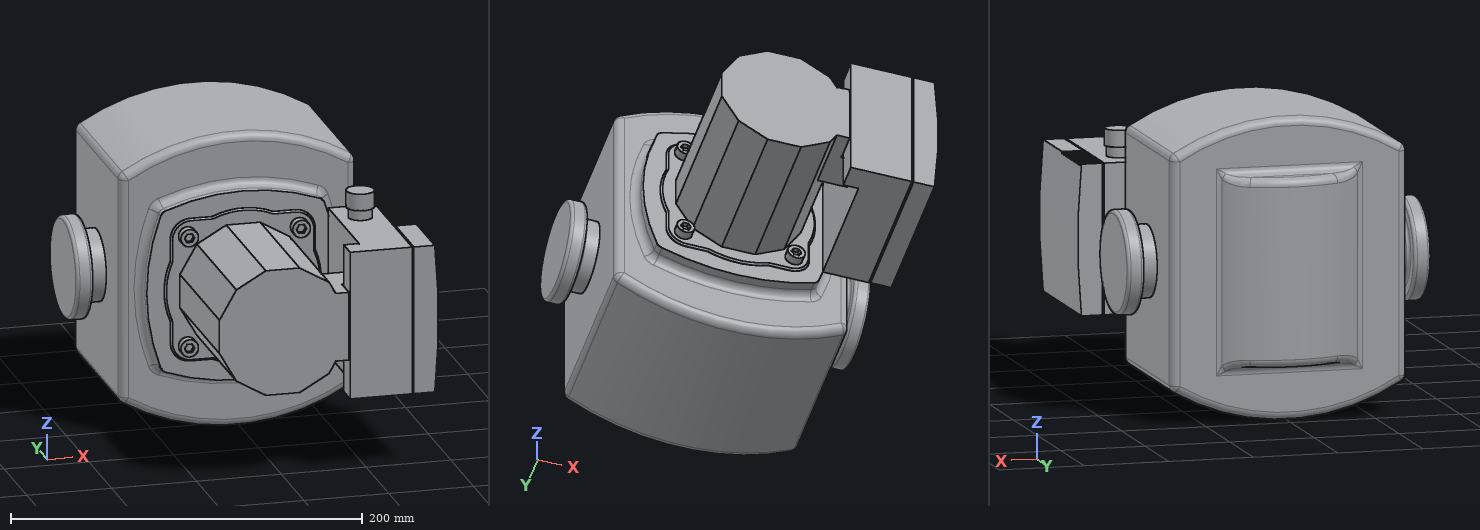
import cadquery as cq
import math


housing_half_width = 69.6
housing_half_height = 88.0
housing_half_depth = 51.0
bow_radius = 130.0
edge_round = 5.0
pad_half_size = 56.5
pad_front = -61.2
dome_rise = 14.9
dome_half_width = 41.4
dome_half_height = 55.0

pick_margin = 0.2
foot_margin = 2.2

pipe_z = -1.0
pipe_radius = 21.1
flange_radius = 30.2
flange_end = 89.7
flange_thickness = 10.1
flange_round = 2.0

plate_thickness = 1.3
plate_half_size = 42.7
plate_corner_radius = 11.9
plate_disc_radius = 46.3
plate_chamfer = 1.0
motor_sides = 12
motor_apothem = 37.3
length_overall = 215.5
motor_front = housing_half_depth + dome_rise - length_overall
plate_front = pad_front - plate_thickness

screw_offset = 33.0
screw_head_radius = 5.2
screw_head_height = 5.4
socket_sides = 6
socket_size = 5.8
socket_depth = 2.5

box_half_height = 44.0
box_left = 49.0
box_back = -67.0
box_front = -149.0
box_edge_right = 89.9
box_crown_right = 92.0
lip_left = 39.9
lip_back = -134.7
seam_left = 76.5
seam_width = 0.9
seam_depth = 1.0
slot_count = 15
slot_row_length = 38.0
slot_pitch = slot_row_length / (slot_count - 1)
slot_width = 1.3
first_slot = -70.0
slot_depth = 1.0
gland_x = 62.3
gland_y = -87.5
gland_neck_radius = 7.0
gland_neck_height = 6.3
gland_head_radius = 8.2
gland_top = 60.1

clearance = 0.9
block_half_height = 20.3
block_back = -113.0


def chord_drop(radius, half_chord):
    """Distance from the crown of an arc to its chord."""
    return radius - math.sqrt(radius**2 - half_chord**2)


def cylinder_along_x(radius, start, end):
    return cq.Workplane("YZ", origin=(start, 0, pipe_z)).circle(radius).extrude(end - start)


def housing_shell():
    """Flat-sided block with a bowed top and bottom, rounded on every edge."""
    corner = housing_half_height - chord_drop(bow_radius, housing_half_width)
    return (
        cq.Workplane("XZ", origin=(0, housing_half_depth, 0))
        .moveTo(-housing_half_width, -corner)
        .lineTo(-housing_half_width, corner)
        .threePointArc((0, housing_half_height), (housing_half_width, corner))
        .lineTo(housing_half_width, -corner)
        .threePointArc((0, -housing_half_height), (-housing_half_width, -corner))
        .close()
        .extrude(2 * housing_half_depth)
        .edges()
        .fillet(edge_round)
    )


def motor_pad():
    """Square pad with four bowed sides, reaching back into the housing."""
    shift = bow_radius - pad_half_size
    corner = (math.sqrt(2 * bow_radius**2 - shift**2) - shift) / 2
    return (
        cq.Workplane("XZ")
        .moveTo(-corner, -corner)
        .threePointArc((-pad_half_size, 0), (-corner, corner))
        .threePointArc((0, pad_half_size), (corner, corner))
        .threePointArc((pad_half_size, 0), (corner, -corner))
        .threePointArc((0, -pad_half_size), (-corner, -corner))
        .close()
        .extrude(-pad_front)
        .edges("|Y")
        .fillet(edge_round)
    )


def back_dome():
    """Segment of a cylinder along Z, standing on the back of the housing."""
    crown = housing_half_depth + dome_rise
    return (
        cq.Workplane("XY", origin=(0, 0, -dome_half_height))
        .moveTo(-dome_half_width, 0)
        .lineTo(-dome_half_width, housing_half_depth)
        .threePointArc((0, crown), (dome_half_width, housing_half_depth))
        .lineTo(dome_half_width, 0)
        .close()
        .extrude(2 * dome_half_height)
    )


def pipe_stub():
    """Pipe neck and rounded end flange on the +X side, starting inside the housing."""
    neck = cylinder_along_x(pipe_radius, housing_half_width / 2, flange_end)
    flange = cylinder_along_x(flange_radius, flange_end - flange_thickness, flange_end)
    return neck.union(flange).edges("%CIRCLE and (not <X)").fillet(flange_round)


def blend_foot(body, face_y, reach):
    """Fillet the edges where a raised shape stands on the housing face at face_y."""
    near = (-reach, face_y - pick_margin, -reach)
    far = (reach, face_y + pick_margin, reach)
    return body.edges(cq.selectors.BoxSelector(near, far)).fillet(edge_round)


def round_dome_ends(body):
    """Fillet the curved edges between the dome and its two flat ends."""
    near = (-dome_half_width, housing_half_depth + edge_round, -dome_half_height - pick_margin)
    far = (dome_half_width, housing_half_depth + dome_rise, dome_half_height + pick_margin)
    return body.edges(cq.selectors.BoxSelector(near, far)).edges("%CIRCLE").fillet(edge_round)


def make_housing():
    body = housing_shell().union(motor_pad())
    body = blend_foot(body, -housing_half_depth, pad_half_size + foot_margin)
    body = body.union(back_dome())
    body = blend_foot(body, housing_half_depth, dome_half_height + foot_margin)
    body = round_dome_ends(body)
    stub = pipe_stub()
    return body.union(stub).union(stub.mirror("YZ"))


def motor_plate():
    """Thin flange: rounded square crossed with a slightly larger disc."""
    base = cq.Workplane("XZ", origin=(0, pad_front, 0))
    size = 2 * plate_half_size
    square = base.rect(size, size).extrude(plate_thickness).edges("|Y").fillet(plate_corner_radius)
    disc = base.circle(plate_disc_radius).extrude(plate_thickness)
    return square.union(disc).faces("<Y").edges().chamfer(plate_chamfer)


def terminal_block():
    """Block from the motor to the control box, cut back where the box lip sits."""
    block_end = lip_left - clearance
    step = lip_back + clearance
    return (
        cq.Workplane("XY", origin=(0, 0, -block_half_height))
        .moveTo(0, block_back)
        .lineTo(box_left, block_back)
        .lineTo(box_left, step)
        .lineTo(block_end, step)
        .lineTo(block_end, motor_front)
        .lineTo(0, motor_front)
        .close()
        .extrude(2 * block_half_height)
    )


def make_motor():
    half_side_angle = math.pi / motor_sides
    across_corners = 2 * motor_apothem / math.cos(half_side_angle)
    barrel = (
        cq.Workplane("XZ", origin=(0, plate_front, 0))
        .transformed(rotate=(0, 0, math.degrees(half_side_angle)))
        .polygon(motor_sides, across_corners)
        .extrude(plate_front - motor_front)
    )
    return motor_plate().union(barrel).union(terminal_block())


def make_screw(x, z):
    """Screw head with a six-sided socket."""
    top = plate_front - screw_head_height
    head = cq.Workplane("XZ", origin=(x, plate_front, z)).circle(screw_head_radius).extrude(screw_head_height)
    socket = cq.Workplane("XZ", origin=(x, top, z)).polygon(socket_sides, socket_size).extrude(-socket_depth)
    return head.cut(socket)


def box_body():
    """Box with a lip over the terminal block and a slightly crowned outer side."""
    depth = box_back - box_front
    body = (
        cq.Workplane("XZ", origin=(0, box_back, 0))
        .moveTo(lip_left, -box_half_height)
        .lineTo(lip_left, box_half_height)
        .lineTo(box_edge_right, box_half_height)
        .threePointArc((box_crown_right, 0), (box_edge_right, -box_half_height))
        .close()
        .extrude(depth)
    )
    behind_lip = cq.Workplane("XY").box(
        box_left - lip_left, box_back - lip_back, 2 * box_half_height, centered=(False, False, True)
    )
    return body.cut(behind_lip.translate((lip_left, lip_back, 0)))


def cover_seam():
    """Narrow groove all around the box, between its base and its cover."""
    depth = box_back - box_front
    height = 2 * box_half_height
    middle_y = (box_back + box_front) / 2
    plane = cq.Workplane("YZ", origin=(seam_left, middle_y, 0))
    core = plane.rect(depth - 2 * seam_depth, height - 2 * seam_depth).extrude(seam_width)
    return plane.rect(depth, height).extrude(seam_width).cut(core)


def cooling_slots():
    """Row of slots across the top of the cover."""
    slots = cq.Workplane("XY")
    for i in range(slot_count):
        slots = slots.add(
            cq.Workplane("XY")
            .box(box_crown_right - seam_left, slot_width, slot_depth, centered=(False, True, False))
            .translate((seam_left, first_slot - i * slot_pitch, box_half_height - slot_depth))
        )
    return slots.combine()


def cable_gland():
    base = cq.Workplane("XY", origin=(gland_x, gland_y, box_half_height))
    head_base = box_half_height + gland_neck_height
    neck = base.circle(gland_neck_radius).extrude(gland_neck_height)
    head = base.workplane(offset=gland_neck_height).circle(gland_head_radius).extrude(gland_top - head_base)
    return neck.union(head)


def make_control_box():
    return box_body().cut(cover_seam()).cut(cooling_slots()).union(cable_gland())


housing = make_housing()
motor = make_motor()
control_box = make_control_box()
screws = []
for x_side in (-1, 1):
    for z_side in (-1, 1):
        screws.append(make_screw(x_side * screw_offset, z_side * screw_offset).val())

result = cq.Compound.makeCompound([housing.val(), motor.val(), control_box.val(), *screws])